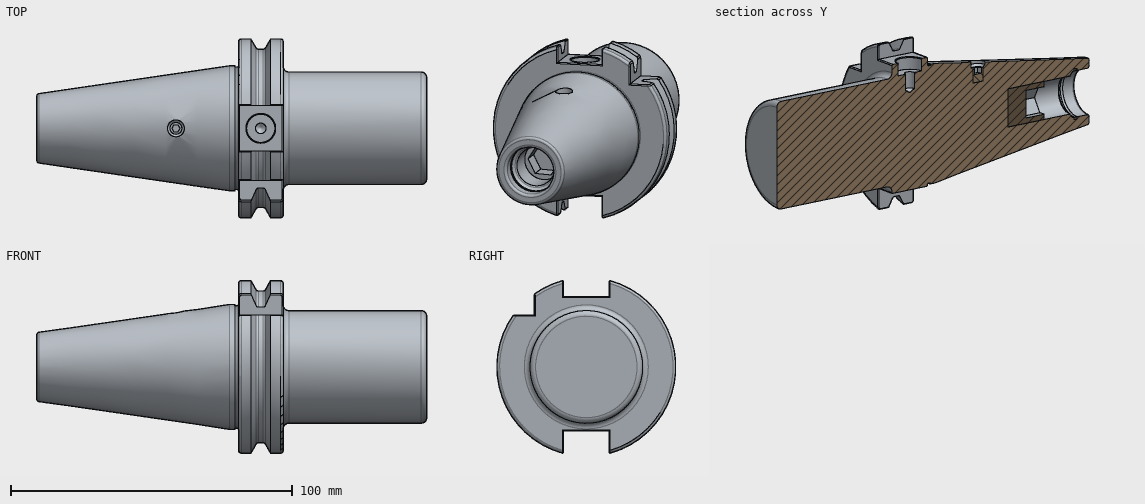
import cadquery as cq
import math

GAUGE_DIAMETER = 44.45
TAPER_LENGTH = 68.4
TAPER_RATIO = 7 / 24
TAPER_END_FILLET = 1.0

UNDERCUT_RADIUS = 21.8
UNDERCUT_START = 1.9
UNDERCUT_FILLET = 0.5

FLANGE_RADIUS = 63.55 / 2
FLANGE_START = 3.2
FLANGE_END = 19.1
FLANGE_RIM_FILLET = 1.0
CUTTER_MARGIN = 1.0

GROOVE_X = 11.1
GROOVE_WIDTH = 7.0
GROOVE_FLOOR_RADIUS = 56.25 / 2
GROOVE_WALL_ANGLE = 30
GROOVE_FLOOR_FILLET = 1.0

SLOT_WIDTH = 16.1
TOP_SLOT_FLOOR = 25.0
BOTTOM_SLOT_FLOOR = 22.8
NOTCH_WALL = 18.5
NOTCH_FLOOR = 18.5
SLOT_EDGE_CHAMFER = 0.4

SHANK_RADIUS = 20.0
SHANK_END = 70.0
SHANK_ROOT_FILLET = 2.0
SHANK_END_FILLET = 2.0

MOUTH_RADIUS = 17 / 2
MOUTH_FILLET = 1.0
MOUTH_DEPTH = 7.2
LEAD_IN_RADIUS = 7.5
LEAD_IN_ANGLE = 45
SEAT_ANGLE = 60
THREAD_RADIUS = 6.95

SEAL_DEPTH = 5.5
SEAL_WIDTH = 1.1
SEAL_THICKNESS = 0.8

LOCK_SCREW_RECESS = 20.0
LOCK_SCREW_LENGTH = 16.0
LOCK_HEX_FLATS = 10.0
LOCK_HEX_DEPTH = 8.0
LOCK_HEX_TURN = 3

SET_SCREW_X = -19.0
SET_HOLE_RADIUS = 3.0
SET_THREAD_RADIUS = 2.1
SET_SEAT_Z = 17.0
SET_SCREW_LENGTH = 5.0
SET_HEX_FLATS = 2.5
SET_HEX_DEPTH = 2.0

CHIP_RADIUS = 5.0
CHIP_DEPTH = 4.6
CHIP_CHAMFER = 0.3
PILOT_RADIUS = 3.75 / 2
PILOT_DEPTH = 6.0
DRILL_POINT_ANGLE = 118

TAPER_END = -TAPER_LENGTH


def taper_radius(x):
    return GAUGE_DIAMETER / 2 + x * TAPER_RATIO / 2


def revolve_about_x(profile):
    return profile.close().revolve(360, (0, 0, 0), (1, 0, 0))


def hex_prism(workplane, flats, depth):
    return workplane.polygon(6, flats / math.cos(math.pi / 6)).extrude(depth)


def make_body():
    profile = (
        cq.Workplane("XY")
        .moveTo(TAPER_END, 0)
        .lineTo(TAPER_END, taper_radius(TAPER_END))
        .lineTo(0, taper_radius(0))
        .lineTo(UNDERCUT_START, taper_radius(0))
        .lineTo(UNDERCUT_START, UNDERCUT_RADIUS)
        .lineTo(FLANGE_START - UNDERCUT_FILLET, UNDERCUT_RADIUS)
        .radiusArc((FLANGE_START, UNDERCUT_RADIUS + UNDERCUT_FILLET), -UNDERCUT_FILLET)
        .lineTo(FLANGE_END, UNDERCUT_RADIUS + UNDERCUT_FILLET)
        .lineTo(FLANGE_END, SHANK_RADIUS + SHANK_ROOT_FILLET)
        .radiusArc((FLANGE_END + SHANK_ROOT_FILLET, SHANK_RADIUS), -SHANK_ROOT_FILLET)
        .lineTo(SHANK_END, SHANK_RADIUS)
        .lineTo(SHANK_END, 0)
    )
    body = revolve_about_x(profile)
    body = body.faces("<X").edges().fillet(TAPER_END_FILLET)
    return body.faces(">X").edges().fillet(SHANK_END_FILLET)


def slot_box(y_min, y_max, z_min, z_max):
    length = FLANGE_END - FLANGE_START
    corner = (FLANGE_START, y_min, z_min)
    return cq.Workplane("XY").box(length, y_max - y_min, z_max - z_min, centered=False).translate(corner)


def groove_ring():
    outside = FLANGE_RADIUS + CUTTER_MARGIN
    slope = math.tan(math.radians(GROOVE_WALL_ANGLE))
    floor_half = GROOVE_WIDTH / 2 - (FLANGE_RADIUS - GROOVE_FLOOR_RADIUS) * slope
    top_half = GROOVE_WIDTH / 2 + (outside - FLANGE_RADIUS) * slope
    profile = (
        cq.Workplane("XY")
        .moveTo(GROOVE_X - floor_half, GROOVE_FLOOR_RADIUS)
        .lineTo(GROOVE_X + floor_half, GROOVE_FLOOR_RADIUS)
        .lineTo(GROOVE_X + top_half, outside)
        .lineTo(GROOVE_X - top_half, outside)
    )
    floor_edges = cq.selectors.RadiusNthSelector(0)
    return revolve_about_x(profile).edges(floor_edges).fillet(GROOVE_FLOOR_FILLET)


def is_open_slot_edge(edge):
    """True for slot edges on the flange outline or end faces, false for the corners inside a slot."""
    center = edge.Center()
    on_end_face = min(center.x - FLANGE_START, FLANGE_END - center.x) < SLOT_EDGE_CHAMFER
    on_outline = math.hypot(center.y, center.z) > FLANGE_RADIUS - FLANGE_RIM_FILLET
    return on_end_face or on_outline


def make_flange():
    half = SLOT_WIDTH / 2
    reach = FLANGE_RADIUS + CUTTER_MARGIN
    flange = (
        cq.Workplane("YZ", origin=(FLANGE_START, 0, 0))
        .circle(FLANGE_RADIUS)
        .extrude(FLANGE_END - FLANGE_START)
        .faces("<X or >X")
        .edges()
        .fillet(FLANGE_RIM_FILLET)
    )
    slots = (
        slot_box(-half, half, TOP_SLOT_FLOOR, reach)
        .union(slot_box(-half, half, -reach, -BOTTOM_SLOT_FLOOR))
        .union(slot_box(-reach, -NOTCH_WALL, NOTCH_FLOOR, reach))
    )
    flange = flange.cut(slots)
    sharp_edges = flange.faces("|Y or |Z").edges().filter(is_open_slot_edge)
    return sharp_edges.chamfer(SLOT_EDGE_CHAMFER).cut(groove_ring())


def taper_bore():
    step = TAPER_END + MOUTH_DEPTH
    lead_in_end = step + (MOUTH_RADIUS - LEAD_IN_RADIUS) / math.tan(math.radians(LEAD_IN_ANGLE))
    seat_end = lead_in_end + (LEAD_IN_RADIUS - THREAD_RADIUS) / math.tan(math.radians(SEAT_ANGLE))
    bottom = TAPER_END + LOCK_SCREW_RECESS + LOCK_SCREW_LENGTH
    profile = (
        cq.Workplane("XY")
        .moveTo(TAPER_END, 0)
        .lineTo(TAPER_END, MOUTH_RADIUS + MOUTH_FILLET)
        .radiusArc((TAPER_END + MOUTH_FILLET, MOUTH_RADIUS), -MOUTH_FILLET)
        .lineTo(step, MOUTH_RADIUS)
        .lineTo(lead_in_end, LEAD_IN_RADIUS)
        .lineTo(seat_end, THREAD_RADIUS)
        .lineTo(bottom, THREAD_RADIUS)
        .lineTo(bottom, 0)
    )
    return revolve_about_x(profile)


def make_seal_ring():
    return (
        cq.Workplane("YZ", origin=(TAPER_END + SEAL_DEPTH, 0, 0))
        .circle(MOUTH_RADIUS + SEAL_THICKNESS)
        .circle(MOUTH_RADIUS)
        .extrude(SEAL_WIDTH)
    )


def make_lock_screw():
    head = cq.Workplane("YZ", origin=(TAPER_END + LOCK_SCREW_RECESS, 0, 0))
    screw = head.circle(THREAD_RADIUS).extrude(LOCK_SCREW_LENGTH)
    socket = hex_prism(head, LOCK_HEX_FLATS, LOCK_HEX_DEPTH)
    return screw.cut(socket.rotate((0, 0, 0), (1, 0, 0), LOCK_HEX_TURN))


def set_screw_hole():
    cone_height = SET_HOLE_RADIUS - SET_THREAD_RADIUS
    profile = (
        cq.Workplane("XZ")
        .moveTo(0, SET_SEAT_Z - SET_SCREW_LENGTH)
        .lineTo(SET_THREAD_RADIUS, SET_SEAT_Z - SET_SCREW_LENGTH)
        .lineTo(SET_THREAD_RADIUS, SET_SEAT_Z)
        .lineTo(SET_HOLE_RADIUS, SET_SEAT_Z + cone_height)
        .lineTo(SET_HOLE_RADIUS, GAUGE_DIAMETER / 2)
        .lineTo(0, GAUGE_DIAMETER / 2)
        .close()
    )
    return profile.revolve(360, (0, 0, 0), (0, 1, 0)).translate((SET_SCREW_X, 0, 0))


def make_set_screw():
    top = cq.Workplane("XY", origin=(SET_SCREW_X, 0, SET_SEAT_Z))
    screw = top.circle(SET_THREAD_RADIUS).extrude(-SET_SCREW_LENGTH)
    return screw.cut(hex_prism(top, SET_HEX_FLATS, -SET_HEX_DEPTH))


def chip_hole():
    chip_floor = TOP_SLOT_FLOOR - CHIP_DEPTH
    pilot_end = chip_floor - PILOT_DEPTH
    point_height = PILOT_RADIUS / math.tan(math.radians(DRILL_POINT_ANGLE / 2))
    profile = (
        cq.Workplane("XZ")
        .moveTo(0, pilot_end - point_height)
        .lineTo(PILOT_RADIUS, pilot_end)
        .lineTo(PILOT_RADIUS, chip_floor)
        .lineTo(CHIP_RADIUS, chip_floor)
        .lineTo(CHIP_RADIUS, TOP_SLOT_FLOOR - CHIP_CHAMFER)
        .lineTo(CHIP_RADIUS + CHIP_CHAMFER, TOP_SLOT_FLOOR)
        .lineTo(0, TOP_SLOT_FLOOR)
        .close()
    )
    return profile.revolve(360, (0, 0, 0), (0, 1, 0)).translate((GROOVE_X, 0, 0))


seal_ring = make_seal_ring()
holder = make_body().union(make_flange())
holder = holder.cut(taper_bore()).cut(seal_ring).cut(set_screw_hole()).cut(chip_hole())
lock_screw = make_lock_screw()
set_screw = make_set_screw()

result = cq.Compound.makeCompound([holder.val(), seal_ring.val(), lock_screw.val(), set_screw.val()])